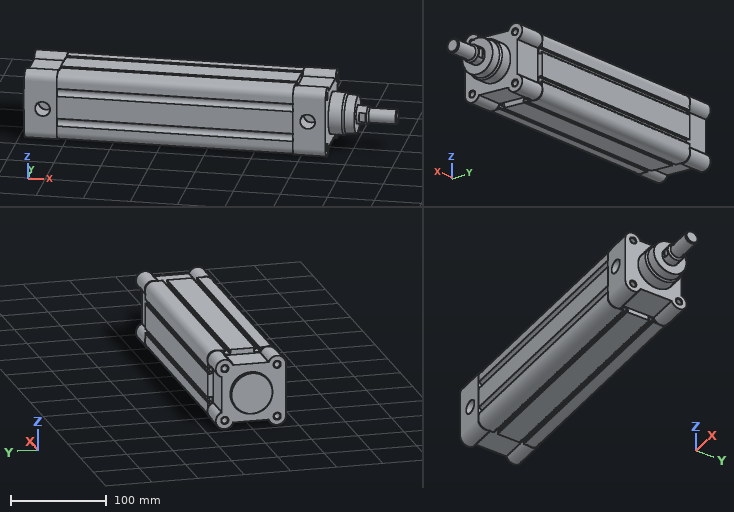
import cadquery as cq

TOTAL_LENGTH = 394.0
COVER_LENGTH = 34.5
REAR_SPIGOT_LENGTH = 4.0
REAR_COVER_END = REAR_SPIGOT_LENGTH + COVER_LENGTH
BARREL_LENGTH = 251.0
FRONT_COVER_START = REAR_COVER_END + BARREL_LENGTH
FRONT_COVER_END = FRONT_COVER_START + COVER_LENGTH

COVER_SIZE = 76.0
SCREW_OFFSET = 28.5
BOSS_RADIUS = COVER_SIZE / 2 - SCREW_OFFSET
RECESSED_FACE = 31.5

SCREW_HOLE_DIAMETER = 6.7
SCREW_HOLE_DEPTH = 15.8
SCREW_HOLE_CHAMFER = 0.7

PORT_DIAMETER = 15.8
PORT_DEPTH = 19.7
PORT_SHIFT_Z = 2.5
REAR_PORT_INSET = 19.7
FRONT_PORT_INSET = 19.0
REAR_PORT_X = REAR_SPIGOT_LENGTH + REAR_PORT_INSET
FRONT_PORT_X = FRONT_COVER_END - FRONT_PORT_INSET

SPIGOT_RADIUS = 22.5
REAR_SPIGOT_CHAMFER = 0.5
FRONT_SPIGOT_LENGTH = 14.0
NOSE_CHAMFER_LENGTH = 2.5
NOSE_LENGTH = 10.5
NOSE_BASE_RADIUS = 21.0
NOSE_TIP_RADIUS = 20.0

BARREL_SIZE = 75.0
BARREL_CORNER_RADIUS = 9.5
GROOVE_FLOOR = 32.7
UNDERCUT_GROOVE_OFFSET = 16.0
GROOVE_MOUTH_WIDTH = 4.7
GROOVE_LIP = 1.5
UNDERCUT_WIDTH = 7.5
UNDERCUT_FLOOR_WIDTH = 6.0
ROUND_GROOVE_OFFSET = 16.5
ROUND_GROOVE_DIAMETER = 8.3

ROD_DIAMETER = 19.7
ROD_RADIUS = ROD_DIAMETER / 2
ROD_FLATS_START = 354.5
ROD_FLATS_LENGTH = 6.7
ROD_ACROSS_FLATS = 17.0
ROD_SHOULDER = 362.5
THREAD_RADIUS = 8.0
THREAD_START = 364.5
THREAD_CHAMFER = 1.0


def disc(x, radius, length):
    """Cylinder on the X axis that starts at x."""
    return cq.Workplane("YZ", origin=(x, 0, 0)).circle(radius).extrude(length)


def turned(profile):
    """Solid of revolution about X from (x, radius) points that start and end on the axis."""
    return cq.Workplane("XY").polyline(profile).close().revolve(360, (0, 0, 0), (1, 0, 0))


def screw_points():
    return [(y, z) for y in (-SCREW_OFFSET, SCREW_OFFSET) for z in (-SCREW_OFFSET, SCREW_OFFSET)]


def cover_block(start):
    """Four corner bosses joined by a core: flat on -Y, sunk between the bosses on the other sides."""
    section = cq.Workplane("YZ", origin=(start, 0, 0))
    bosses = section.pushPoints(screw_points()).circle(BOSS_RADIUS).extrude(COVER_LENGTH)

    core_width = RECESSED_FACE + SCREW_OFFSET
    core = (
        section.center((RECESSED_FACE - SCREW_OFFSET) / 2, 0)
        .rect(core_width, 2 * RECESSED_FACE)
        .extrude(COVER_LENGTH)
    )

    port_wall = (
        cq.Workplane("YZ", origin=(start, -SCREW_OFFSET - BOSS_RADIUS / 2, 0))
        .rect(BOSS_RADIUS, 2 * SCREW_OFFSET)
        .extrude(COVER_LENGTH)
    )
    return core.union(port_wall).union(bosses).clean()


def screw_holes(face_x, inward):
    """Chamfered blind holes from the outer cover face; inward is +1 or -1 along X."""
    mouth_radius = SCREW_HOLE_DIAMETER / 2 + SCREW_HOLE_CHAMFER
    profile = [
        (face_x, 0),
        (face_x, mouth_radius),
        (face_x + inward * SCREW_HOLE_CHAMFER, SCREW_HOLE_DIAMETER / 2),
        (face_x + inward * SCREW_HOLE_DEPTH, SCREW_HOLE_DIAMETER / 2),
        (face_x + inward * SCREW_HOLE_DEPTH, 0),
    ]
    hole = turned(profile)
    holes = cq.Workplane("XY")
    for y, z in screw_points():
        holes = holes.add(hole.translate((0, y, z)))
    return holes.combine()


def port(x, z):
    """Blind round port from the -Y face."""
    return (
        cq.Workplane("XZ", origin=(x, -COVER_SIZE / 2, z))
        .circle(PORT_DIAMETER / 2)
        .extrude(-PORT_DEPTH)
    )


def make_rear_cover():
    spigot = disc(0, SPIGOT_RADIUS, REAR_SPIGOT_LENGTH).faces("<X").chamfer(REAR_SPIGOT_CHAMFER)
    return (
        cover_block(REAR_SPIGOT_LENGTH)
        .union(spigot)
        .cut(screw_holes(REAR_SPIGOT_LENGTH, 1))
        .cut(port(REAR_PORT_X, -PORT_SHIFT_Z))
    )


def make_front_cover():
    spigot_end = FRONT_COVER_END + FRONT_SPIGOT_LENGTH
    nose_start = spigot_end + NOSE_CHAMFER_LENGTH
    nose_end = nose_start + NOSE_LENGTH
    nose = turned([
        (FRONT_COVER_END, 0),
        (FRONT_COVER_END, SPIGOT_RADIUS),
        (spigot_end, SPIGOT_RADIUS),
        (nose_start, NOSE_BASE_RADIUS),
        (nose_end, NOSE_TIP_RADIUS),
        (nose_end, 0),
    ])
    rod_bore = disc(FRONT_COVER_START, ROD_RADIUS, nose_end - FRONT_COVER_START)
    return (
        cover_block(FRONT_COVER_START)
        .union(nose)
        .cut(screw_holes(FRONT_COVER_END, -1))
        .cut(port(FRONT_PORT_X, PORT_SHIFT_Z))
        .cut(rod_bore)
    )


def undercut_groove(offset):
    """Lengthwise groove in the +Z side that widens below its lips."""
    top = BARREL_SIZE / 2
    half_outline = [
        (GROOVE_MOUTH_WIDTH / 2, top),
        (GROOVE_MOUTH_WIDTH / 2, top - GROOVE_LIP),
        (UNDERCUT_WIDTH / 2, top - GROOVE_LIP),
        (UNDERCUT_FLOOR_WIDTH / 2, GROOVE_FLOOR),
    ]
    right = [(offset + half, z) for half, z in half_outline]
    left = [(offset - half, z) for half, z in reversed(half_outline)]
    return (
        cq.Workplane("YZ", origin=(REAR_COVER_END, 0, 0))
        .polyline(right + left)
        .close()
        .extrude(BARREL_LENGTH)
    )


def round_groove(offset):
    """Lengthwise half-round groove in the -Y side."""
    return (
        cq.Workplane("YZ", origin=(REAR_COVER_END, -BARREL_SIZE / 2, offset))
        .circle(ROUND_GROOVE_DIAMETER / 2)
        .extrude(BARREL_LENGTH)
    )


def make_barrel():
    """Square extrusion with two grooves per side: undercut on +Y, +Z and -Z, half-round on -Y."""
    barrel = (
        cq.Workplane("YZ", origin=(REAR_COVER_END, 0, 0))
        .rect(BARREL_SIZE, BARREL_SIZE)
        .extrude(BARREL_LENGTH)
        .edges("|X")
        .fillet(BARREL_CORNER_RADIUS)
    )
    undercut_turns = (0, -90, 180)
    for side in (-1, 1):
        groove = undercut_groove(side * UNDERCUT_GROOVE_OFFSET)
        for turn in undercut_turns:
            barrel = barrel.cut(groove.rotate((0, 0, 0), (1, 0, 0), turn))
        barrel = barrel.cut(round_groove(side * ROUND_GROOVE_OFFSET))
    return barrel


def make_piston_rod():
    """Round rod with two wrench flats, a tapered shoulder and a thinner threaded end."""
    rod = turned([
        (FRONT_COVER_START, 0),
        (FRONT_COVER_START, ROD_RADIUS),
        (ROD_SHOULDER, ROD_RADIUS),
        (THREAD_START, THREAD_RADIUS),
        (TOTAL_LENGTH - THREAD_CHAMFER, THREAD_RADIUS),
        (TOTAL_LENGTH, THREAD_RADIUS - THREAD_CHAMFER),
        (TOTAL_LENGTH, 0),
    ])
    flats_middle = ROD_FLATS_START + ROD_FLATS_LENGTH / 2
    for side in (-1, 1):
        waste = cq.Workplane("XY").box(ROD_FLATS_LENGTH, ROD_RADIUS, 2 * ROD_RADIUS)
        waste_y = side * (ROD_ACROSS_FLATS + ROD_RADIUS) / 2
        rod = rod.cut(waste.translate((flats_middle, waste_y, 0)))
    return rod


rear_cover = make_rear_cover()
barrel = make_barrel()
front_cover = make_front_cover()
piston_rod = make_piston_rod()

result = cq.Compound.makeCompound([
    rear_cover.val(),
    barrel.val(),
    front_cover.val(),
    piston_rod.val(),
])